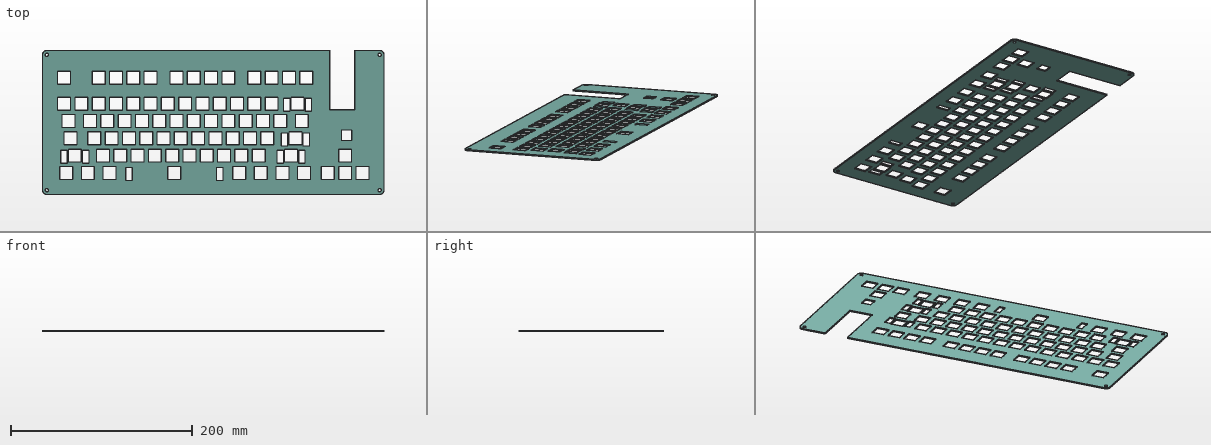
import cadquery as cq

LENGTH = 376.48
WIDTH = 158.99
THICKNESS = 1.5
CORNER_RADIUS = 5.0

SCREW_HOLE_DIAMETER = 3.4
SCREW_HOLE_INSET = 5.0

NOTCH_LEFT = 128.5
NOTCH_WIDTH = 27.2
NOTCH_DEPTH = 65.2

WINDOW_SIZE = 11.2
WINDOW_X = 146.9
WINDOW_Y = -14.1

KEY_PITCH = 19.05
SWITCH_SIZE = 14.0
GRID_COLUMNS_SPAN = 17.25
FIRST_KEY_X = -GRID_COLUMNS_SPAN * KEY_PITCH / 2
EDGE_TO_KEY_CENTRE = LENGTH / 2 + FIRST_KEY_X
BOTTOM_ROW_Y = -WIDTH / 2 + EDGE_TO_KEY_CENTRE

STABILIZER_WIDTH = 6.75
STABILIZER_HEIGHT = 14.0
STABILIZER_DROP = 1.2
WIDE_KEY_STABILIZER_OFFSET = 11.94
SPACE_BAR_STABILIZER_OFFSET = 50.0


def key_run(first, count):
    """Centres of adjacent single-width keys, in key pitches."""
    return [first + step for step in range(count)]


BACKSPACE = 13.5
ENTER = 13.375
LEFT_SHIFT = 0.625
RIGHT_SHIFT = 13.125
SPACE_BAR = 6.375
MODIFIER_STEP = 1.25
LEFT_MODIFIERS = [0.125 + MODIFIER_STEP * step for step in range(3)]
RIGHT_MODIFIERS = [10.125 + MODIFIER_STEP * step for step in range(4)]
UP_ARROW = 16.25

FUNCTION_ROW = 5.5
NUMBER_ROW = 4
TAB_ROW = 3
HOME_ROW = 2
SHIFT_ROW = 1
BOTTOM_ROW = 0

KEY_ROWS = {
    FUNCTION_ROW: [0] + key_run(2, 4) + key_run(6.5, 4) + key_run(11, 4),
    NUMBER_ROW: key_run(0, 13) + [BACKSPACE],
    TAB_ROW: [0.25] + key_run(1.5, 12) + [13.75],
    HOME_ROW: [0.375] + key_run(1.75, 11) + [ENTER],
    SHIFT_ROW: [LEFT_SHIFT] + key_run(2.25, 10) + [RIGHT_SHIFT, UP_ARROW],
    BOTTOM_ROW: LEFT_MODIFIERS + [SPACE_BAR] + RIGHT_MODIFIERS + key_run(UP_ARROW - 1, 3),
}

STABILIZED_KEYS = [
    (BACKSPACE, NUMBER_ROW, WIDE_KEY_STABILIZER_OFFSET),
    (ENTER, HOME_ROW, WIDE_KEY_STABILIZER_OFFSET),
    (LEFT_SHIFT, SHIFT_ROW, WIDE_KEY_STABILIZER_OFFSET),
    (RIGHT_SHIFT, SHIFT_ROW, WIDE_KEY_STABILIZER_OFFSET),
    (SPACE_BAR, BOTTOM_ROW, SPACE_BAR_STABILIZER_OFFSET),
]


def key_centre(column, row):
    """Position in mm of a key given in key pitches."""
    return (FIRST_KEY_X + column * KEY_PITCH, BOTTOM_ROW_Y + row * KEY_PITCH)


def cut_rectangles(body, centres, length, width):
    """Cut equal rectangular openings through the plate."""
    return body.cut(
        cq.Workplane("XY").pushPoints(centres).rect(length, width).extrude(THICKNESS)
    )


def make_plate():
    """Rounded plate with a screw hole in each corner."""
    plate = cq.Workplane("XY").rect(LENGTH, WIDTH).extrude(THICKNESS)
    plate = plate.edges("|Z").fillet(CORNER_RADIUS)
    holes = (
        cq.Workplane("XY")
        .rect(LENGTH - 2 * SCREW_HOLE_INSET, WIDTH - 2 * SCREW_HOLE_INSET, forConstruction=True)
        .vertices()
        .circle(SCREW_HOLE_DIAMETER / 2)
        .extrude(THICKNESS)
    )
    return plate.cut(holes)


def cut_notch(body):
    """Open the rear edge with a rectangular notch."""
    centre = (NOTCH_LEFT + NOTCH_WIDTH / 2, WIDTH / 2 - NOTCH_DEPTH / 2)
    return cut_rectangles(body, [centre], NOTCH_WIDTH, NOTCH_DEPTH)


def cut_switches(body):
    """Cut one square opening per key."""
    centres = [key_centre(column, row) for row, columns in KEY_ROWS.items() for column in columns]
    return cut_rectangles(body, centres, SWITCH_SIZE, SWITCH_SIZE)


def cut_stabilizers(body):
    """Cut a pair of slots beside each stabilized key."""
    centres = []
    for column, row, offset in STABILIZED_KEYS:
        x, y = key_centre(column, row)
        for side in (-1, 1):
            centres.append((x + side * offset, y - STABILIZER_DROP))
    return cut_rectangles(body, centres, STABILIZER_WIDTH, STABILIZER_HEIGHT)


def cut_window(body):
    """Cut the small square window above the arrow keys."""
    return cut_rectangles(body, [(WINDOW_X, WINDOW_Y)], WINDOW_SIZE, WINDOW_SIZE)


result = make_plate()
result = cut_notch(result)
result = cut_switches(result)
result = cut_stabilizers(result)
result = cut_window(result)